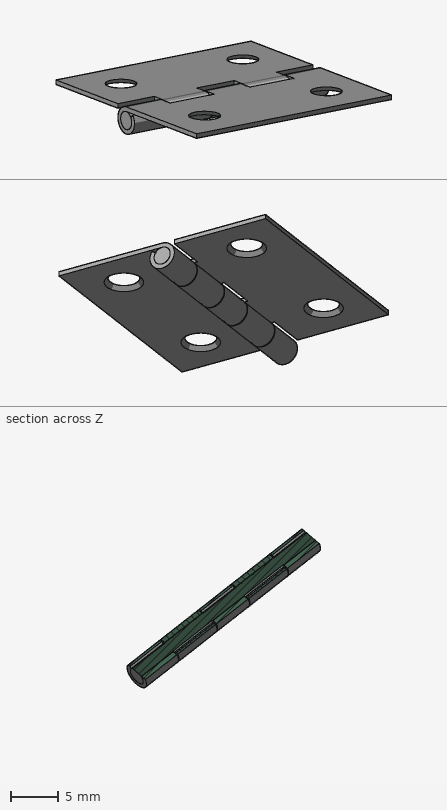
import cadquery as cq
import math

length = 25.4
width = 25.4
knuckle_radius = 1.5
thickness = 0.5
pin_radius = knuckle_radius - thickness
curl_end_angle = 35.0

outer_knuckle_length = 4.65
knuckle_gap = 0.1
inner_space = (length - 3 * outer_knuckle_length) / 2
inner_knuckle_length = inner_space - 2 * knuckle_gap
inner_pitch = outer_knuckle_length + inner_space
right_knuckles = [(y, outer_knuckle_length) for y in (-inner_pitch, 0, inner_pitch)]
left_knuckles = [(y, inner_knuckle_length) for y in (-inner_pitch / 2, inner_pitch / 2)]

hole_diameter = 3.33
countersink_angle = 80.0
hole_offset_x = 7.55
hole_spacing_y = 15.85


def make_plate():
    """Flat part of a right-hand leaf, stopping clear of the knuckles."""
    plate_width = width / 2 - knuckle_radius
    plate = cq.Workplane("XY").box(plate_width, length, thickness, centered=(False, True, False))
    plate = plate.translate((knuckle_radius, 0, pin_radius))
    half_angle = countersink_angle / 2
    holes = (
        cq.Workplane("XY", origin=(hole_offset_x, 0, knuckle_radius))
        .rarray(0.25, hole_spacing_y, 1, 2)
        .circle(hole_diameter / 2)
        .extrude(-thickness, taper=-half_angle)
    )
    return plate.cut(holes)


def make_knuckle(center_y, knuckle_length):
    """Sheet running from the plate to the axis, then rolled around the left of the pin."""
    angle = math.radians(curl_end_angle)
    end_x = math.cos(angle)
    end_z = math.sin(angle)
    middle_angle = (math.pi / 2 + angle + 2 * math.pi) / 2
    middle_x = math.cos(middle_angle)
    middle_z = math.sin(middle_angle)
    return (
        cq.Workplane("XZ", origin=(0, center_y + knuckle_length / 2, 0))
        .moveTo(knuckle_radius, knuckle_radius)
        .lineTo(0, knuckle_radius)
        .threePointArc(
            (knuckle_radius * middle_x, knuckle_radius * middle_z),
            (knuckle_radius * end_x, knuckle_radius * end_z),
        )
        .lineTo(pin_radius * end_x, pin_radius * end_z)
        .threePointArc((pin_radius * middle_x, pin_radius * middle_z), (0, pin_radius))
        .lineTo(knuckle_radius, pin_radius)
        .close()
        .extrude(knuckle_length)
    )


def make_leaf(knuckles):
    """Right-hand leaf with a knuckle at each (centre, length) pair."""
    leaf = make_plate()
    for center_y, knuckle_length in knuckles:
        leaf = leaf.union(make_knuckle(center_y, knuckle_length))
    return leaf


def make_pin():
    """Round pin, flush with both ends of the leaves."""
    return cq.Workplane("XZ").circle(pin_radius).extrude(length / 2, both=True)


right_leaf = make_leaf(right_knuckles)
left_leaf = make_leaf(left_knuckles).mirror("YZ")
pin = make_pin()

result = cq.Compound.makeCompound([right_leaf.val(), left_leaf.val(), pin.val()])